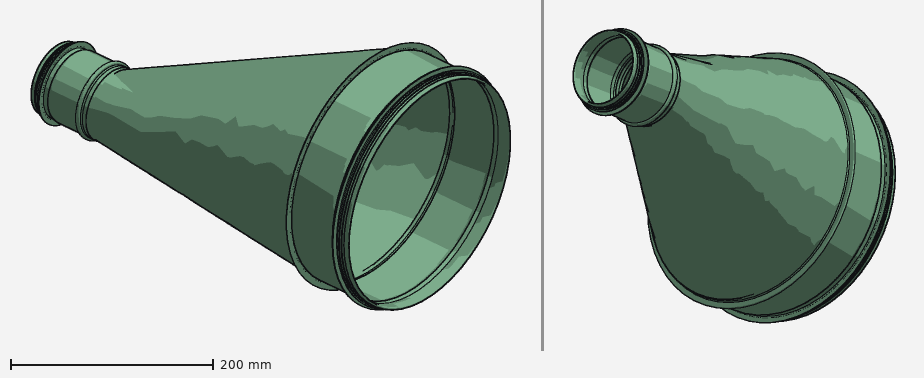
import cadquery as cq
import math

length = 414.0
sheet = 0.62
small_radius = 79.0 / 2
large_radius = 249.0 / 2
axis_offset = large_radius - small_radius

collar_start = 67.5
cone_start = 76.2
cone_end = 334.0
flange_front = 339.2
flange_thickness = 2 * sheet
flange_back = flange_front + flange_thickness
flange_radius = 263.5 / 2
flange_fillet = 1.2
rim_round = 1.05

hem_height = 5 * sheet
hem_radius = hem_height / 2
hem_lip_end = 5.5
seat_end = 9.0
groove_start = 16.0
groove_end = 21.5
shoulder_end = 24.0
barrel_start = 25.3
shoulder_drop = 0.2
small_spigot_length = 72.5
large_spigot_length = length - flange_back

ring_position = 63.0
ring_half_width = 2.5
ring_height = 2.7
ring_round = 1.5

short_lip_start = 8.0
short_lip_step = 10.0
short_lip_end = 11.5
short_lip_step_height = 1.2
short_lip_height = 2.7
tall_lip_height = 5.18
tall_lip_thickness = 1.2
tall_lip_start = groove_start - tall_lip_thickness

ARC_MIDDLE = math.sqrt(0.5)


def revolve(profile):
    """Turn a closed profile in the XY plane once around the X axis."""
    return profile.close().revolve(360, (0, 0, 0), (1, 0, 0))


def place_small(body):
    """Move a body with its free end at X = 0 onto the axis of the small pipe."""
    return body.translate((0, -axis_offset, 0))


def place_large(body):
    """Turn a body with its free end at X = 0 around, so that this end lies at X = length."""
    return body.rotate((0, 0, 0), (0, 0, 1), 180).translate((length, 0, 0))


def make_spigot(radius, spigot_length):
    """Thin pipe whose free end is hemmed inwards around the gasket seat."""
    bore = radius - sheet
    seat = radius - hem_height + sheet
    groove = radius - 2 * sheet
    shoulder = radius - shoulder_drop
    hem_centre = radius - hem_radius
    profile = (
        cq.Workplane("XY")
        .moveTo(hem_lip_end, radius)
        .lineTo(hem_radius, radius)
        .threePointArc((0, hem_centre), (hem_radius, radius - hem_height))
        .lineTo(seat_end, seat - sheet)
        .lineTo(groove_start, groove - sheet)
        .lineTo(groove_end, groove - sheet)
        .lineTo(shoulder_end, shoulder - sheet)
        .lineTo(barrel_start, bore)
        .lineTo(spigot_length, bore)
        .lineTo(spigot_length, radius)
        .lineTo(barrel_start, radius)
        .lineTo(shoulder_end, shoulder)
        .lineTo(groove_end, groove)
        .lineTo(groove_start, groove)
        .lineTo(seat_end, seat)
        .lineTo(hem_radius, seat)
        .threePointArc((sheet, hem_centre), (hem_radius, bore))
        .lineTo(hem_lip_end, bore)
    )
    return revolve(profile)


def make_gasket(radius):
    """Rubber ring clamped under the hem, with a short and a tall sealing lip."""
    clamped_top = radius - sheet
    seat = radius - hem_height + sheet
    groove = radius - 2 * sheet
    profile = (
        cq.Workplane("XY")
        .moveTo(hem_radius, seat)
        .lineTo(seat_end, seat)
        .lineTo(groove_start, groove)
        .lineTo(groove_start, radius + tall_lip_height)
        .lineTo(tall_lip_start, radius + tall_lip_height)
        .lineTo(tall_lip_start, radius)
        .lineTo(short_lip_end, radius)
        .lineTo(short_lip_end, radius + short_lip_height)
        .lineTo(short_lip_step, radius + short_lip_height)
        .lineTo(short_lip_step, radius + short_lip_step_height)
        .lineTo(short_lip_start, radius + short_lip_step_height)
        .lineTo(short_lip_start, radius)
        .lineTo(hem_lip_end, radius)
        .lineTo(hem_lip_end, clamped_top)
        .lineTo(hem_radius, clamped_top)
        .threePointArc((sheet, radius - hem_radius), (hem_radius, seat))
    )
    return revolve(profile)


def make_stop_ring():
    """Ring with rounded outer edges that sits on the outside of the small spigot."""
    front = ring_position - ring_half_width
    back = ring_position + ring_half_width
    top = small_radius + ring_height
    round_inset = ring_round * (1 - ARC_MIDDLE)
    profile = (
        cq.Workplane("XY")
        .moveTo(front, small_radius)
        .lineTo(front, top - ring_round)
        .threePointArc((front + round_inset, top - round_inset), (front + ring_round, top))
        .lineTo(back - ring_round, top)
        .threePointArc((back - round_inset, top - round_inset), (back, top - ring_round))
        .lineTo(back, small_radius)
    )
    return revolve(profile)


def make_cone_core(small, large):
    """Solid eccentric cone with a cylinder at each end, for the given end radii."""
    along_x = cq.Vector(1, 0, 0)
    small_centre = cq.Vector(cone_start, -axis_offset, 0)
    large_centre = cq.Vector(cone_end, 0, 0)
    small_circle = cq.Wire.makeCircle(small, small_centre, along_x)
    large_circle = cq.Wire.makeCircle(large, large_centre, along_x)
    taper = cq.Workplane(cq.Solid.makeLoft([small_circle, large_circle], True))
    small_collar = cq.Solid.makeCylinder(small, cone_start - collar_start, small_centre, -along_x)
    large_collar = cq.Solid.makeCylinder(large, flange_back - cone_end, large_centre, along_x)
    return taper.union(cq.Workplane(small_collar)).union(cq.Workplane(large_collar))


def make_flange():
    """Flange that flares out of the large collar and has a rounded front rim."""
    collar_inside = large_radius - sheet
    fillet_start = flange_front - flange_fillet
    fillet_top = large_radius + flange_fillet
    fillet_reach = flange_fillet * ARC_MIDDLE
    round_inset = rim_round * (1 - ARC_MIDDLE)
    profile = (
        cq.Workplane("XY")
        .moveTo(flange_back, collar_inside)
        .lineTo(fillet_start, collar_inside)
        .lineTo(fillet_start, large_radius)
        .threePointArc(
            (fillet_start + fillet_reach, fillet_top - fillet_reach),
            (flange_front, fillet_top),
        )
        .lineTo(flange_front, flange_radius - rim_round)
        .threePointArc(
            (flange_front + round_inset, flange_radius - round_inset),
            (flange_front + rim_round, flange_radius),
        )
        .lineTo(flange_back, flange_radius)
    )
    return revolve(profile)


def make_cone():
    """Thin eccentric reducer whose small collar fits inside the small spigot."""
    small_outer = small_radius - sheet
    outside = make_cone_core(small_outer, large_radius)
    inside = make_cone_core(small_outer - sheet, large_radius - sheet)
    return outside.cut(inside).union(make_flange())


cone = make_cone()
stop_ring = place_small(make_stop_ring())

spigots = []
gaskets = []
for radius, spigot_length, place in (
    (small_radius, small_spigot_length, place_small),
    (large_radius, large_spigot_length, place_large),
):
    spigots.append(place(make_spigot(radius, spigot_length)).val())
    gaskets.append(place(make_gasket(radius)).val())

result = cq.Compound.makeCompound([cone.val(), stop_ring.val(), *spigots, *gaskets])